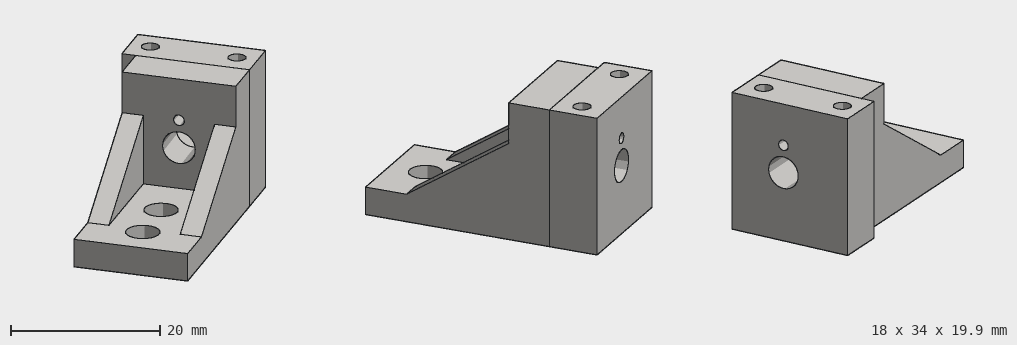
import cadquery as cq

total_length = 34.0
height = 19.9
block_width = 18.0
block_depth = 7.0

bracket_width = 16.0
wall_thickness = 6.0
base_thickness = 4.0
gusset_thickness = 3.0
gusset_top = 13.97
gusset_run = 15.0

bore_diameter = 4.6
bore_height = 9.93
pin_hole_diameter = 1.5
pin_hole_height = 13.9
base_hole_diameter = 4.6
base_hole_setback = 5.25
base_hole_pitch = 8.0
block_hole_diameter = 2.4
block_hole_inset = 2.9

bracket_left = block_width - bracket_width
bracket_center = bracket_left + bracket_width / 2
bracket_length = total_length - block_depth
wall_front = bracket_length - wall_thickness


def vertical_hole(x, y, diameter):
    return cq.Workplane("XY").center(x, y).circle(diameter / 2).extrude(height)


def lengthwise_hole(z, diameter):
    """Hole along Y on the bracket centre line, through wall and block."""
    return (
        cq.Workplane("XZ")
        .center(bracket_center, z)
        .circle(diameter / 2)
        .extrude(-total_length)
    )


def gusset(left):
    """Triangular side rib with its slope running from the wall to the base."""
    return (
        cq.Workplane("YZ", origin=(left, 0, 0))
        .moveTo(wall_front, base_thickness)
        .lineTo(wall_front - gusset_run, base_thickness)
        .lineTo(wall_front, gusset_top)
        .close()
        .extrude(gusset_thickness)
    )


wall_holes = lengthwise_hole(bore_height, bore_diameter).union(
    lengthwise_hole(pin_hole_height, pin_hole_diameter)
)


def make_bracket():
    body = (
        cq.Workplane("YZ", origin=(bracket_left, 0, 0))
        .polyline([
            (0, 0),
            (bracket_length, 0),
            (bracket_length, height),
            (wall_front, height),
            (wall_front, base_thickness),
            (0, base_thickness),
        ])
        .close()
        .extrude(bracket_width)
    )
    for left in (bracket_left, block_width - gusset_thickness):
        body = body.union(gusset(left))
    for y in (base_hole_setback, base_hole_setback + base_hole_pitch):
        body = body.cut(vertical_hole(bracket_center, y, base_hole_diameter))
    return body.cut(wall_holes)


def make_block():
    body = cq.Workplane("XY", origin=(0, bracket_length, 0)).box(
        block_width, block_depth, height, centered=False
    )
    hole_y = bracket_length + block_depth / 2
    for x in (block_hole_inset, block_width - block_hole_inset):
        body = body.cut(vertical_hole(x, hole_y, block_hole_diameter))
    return body.cut(wall_holes)


bracket = make_bracket()
block = make_block()
result = cq.Compound.makeCompound([bracket.val(), block.val()])